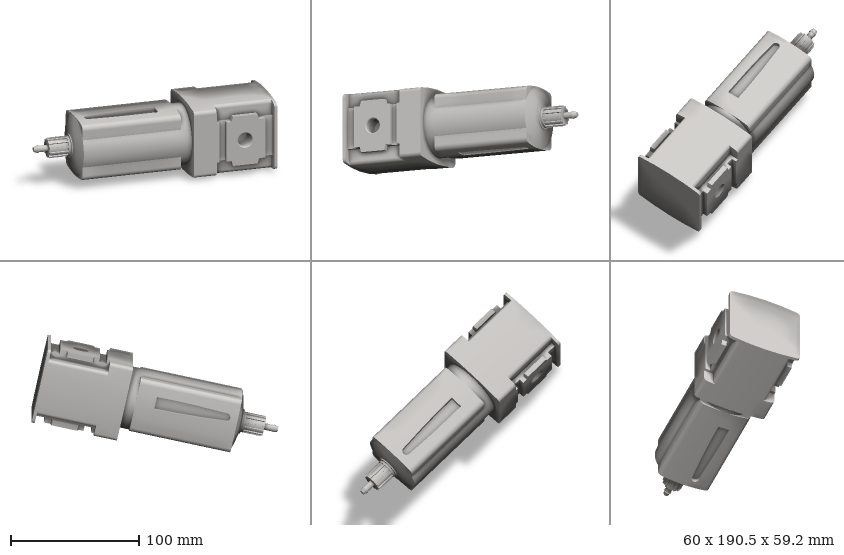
import cadquery as cq
import math


HEAD_WIDTH = 60.0
HEAD_HEIGHT = 59.2
HEAD_LENGTH = 68.2
HEAD_CROWN_RADIUS = 167.6
HEAD_CORNER_RADIUS = 3.0

REAR_FLANGE = 2.5
RECESS_END = 49.7
RECESS_WALL_X = 22.5
RECESS_CORNER_RADIUS = 2.9

PAD_HALF_HEIGHT = 16.2
GROOVE_FLOOR_X = 25.9
REAR_GROOVE_END = 9.9
FRONT_GROOVE_START = 41.5
FRONT_GROOVE_END = 47.5

TAB_HALF_HEIGHT = 20.4
TAB_ROOT_LENGTH = 22.5
TAB_TIP_LENGTH = 20.2
PORT_STATION = 26.3

PORT_DIAMETER = 11.5
PORT_MOUTH_DIAMETER = 12.8
PORT_DEPTH = 15.2
PORT_TIP_ANGLE = 118.0

BOWL_DIAMETER = 48.8
GUARD_START = 76.2
BOWL_SHOULDER = 157.0
GUARD_WIDTH = 43.2
GUARD_CROWN_RADIUS = 101.0
GUARD_CORNER_RADIUS = 4.2
DOME_RADIUS = 66.7

WINDOW_START = 91.5
WINDOW_END = 150.9
WINDOW_FLOOR_Z = 20.5
WINDOW_WIDE_LEFT_X = 0.8
WINDOW_WIDE_RIGHT_X = 10.7
WINDOW_NARROW_STATION = 148.2
WINDOW_NARROW_LEFT_X = 3.2
WINDOW_NARROW_RIGHT_X = 9.5
WINDOW_SIDE_BULGE = 0.5

COLLAR_BASE_DIAMETER = 21.5
COLLAR_DIAMETER = 19.0
COLLAR_CONE_LENGTH = 0.4
COLLAR_END = 161.9
NECK_DIAMETER = 16.2
NECK_END = 163.8
KNOB_CORE_DIAMETER = 13.9
KNOB_END = 179.5
RIB_COUNT = 12
RIB_WIDTH = 1.0
RIB_CHAMFER_LENGTH = 1.1
RIB_CHAMFER_DEPTH = 0.29
NOZZLE_DIAMETER = 5.1
BARB_DIAMETER = 6.0
BARB_START = 186.7
BARB_END = 187.2
TIP_DIAMETER = 3.8
TIP_END = 190.5

SIDES = (-1, 1)


def dome_drop(radius):
    """Distance of the dome surface beyond the shoulder, at a given radius."""
    return math.sqrt(DOME_RADIUS**2 - radius**2) - math.sqrt(DOME_RADIUS**2 - (BOWL_DIAMETER / 2) ** 2)


COLLAR_SEAT = BOWL_SHOULDER + dome_drop(COLLAR_BASE_DIAMETER / 2)


def crowned_bar(width, height, crown_radius, corner_radius, start, end):
    """Bar along Y with flat sides, bowed top and bottom, and rounded long edges."""
    half_width = width / 2
    half_height = height / 2
    edge_z = half_height - crown_radius + math.sqrt(crown_radius**2 - half_width**2)
    return (
        cq.Workplane("XZ", origin=(0, -start, 0))
        .moveTo(-half_width, -edge_z)
        .threePointArc((0, -half_height), (half_width, -edge_z))
        .lineTo(half_width, edge_z)
        .threePointArc((0, half_height), (-half_width, edge_z))
        .close()
        .extrude(end - start)
        .edges("|Y")
        .fillet(corner_radius)
    )


def side_block(side, inner_x, outer_x, half_height, start, end):
    """Block centred on Z = 0 on one side of the part."""
    return cq.Workplane("XY").box(outer_x - inner_x, end - start, 2 * half_height).translate(
        (side * (inner_x + outer_x) / 2, -(start + end) / 2, 0)
    )


def side_pad(side):
    """Mounting pad with two cross grooves, and a clamping tab above and below."""
    face_x = HEAD_WIDTH / 2
    pad = side_block(side, RECESS_WALL_X, GROOVE_FLOOR_X, PAD_HALF_HEIGHT, REAR_FLANGE, RECESS_END)
    lands = ((REAR_GROOVE_END, FRONT_GROOVE_START), (FRONT_GROOVE_END, RECESS_END))
    for start, end in lands:
        pad = pad.union(side_block(side, GROOVE_FLOOR_X, face_x, PAD_HALF_HEIGHT, start, end))
    root = TAB_ROOT_LENGTH / 2
    tip = TAB_TIP_LENGTH / 2
    tabs = (
        cq.Workplane("YZ", origin=(side * GROOVE_FLOOR_X, -PORT_STATION, 0))
        .polyline([
            (-root, -PAD_HALF_HEIGHT),
            (-tip, -TAB_HALF_HEIGHT),
            (tip, -TAB_HALF_HEIGHT),
            (root, -PAD_HALF_HEIGHT),
            (root, PAD_HALF_HEIGHT),
            (tip, TAB_HALF_HEIGHT),
            (-tip, TAB_HALF_HEIGHT),
            (-root, PAD_HALF_HEIGHT),
        ])
        .close()
        .extrude(side * (face_x - GROOVE_FLOOR_X))
    )
    return pad.union(tabs)


def side_port(side):
    """Drilled port with a chamfered mouth and a conical bottom."""
    radius = PORT_DIAMETER / 2
    mouth_radius = PORT_MOUTH_DIAMETER / 2
    face_x = HEAD_WIDTH / 2
    bottom_x = face_x - PORT_DEPTH
    tip_x = bottom_x - radius / math.tan(math.radians(PORT_TIP_ANGLE / 2))
    return (
        cq.Workplane("XY", origin=(0, -PORT_STATION, 0))
        .polyline([
            (side * tip_x, 0),
            (side * bottom_x, radius),
            (side * (face_x - mouth_radius + radius), radius),
            (side * face_x, mouth_radius),
            (side * face_x, 0),
        ])
        .close()
        .revolve(360, (0, 0, 0), (1, 0, 0))
    )


def make_head():
    outline = (HEAD_WIDTH, HEAD_HEIGHT, HEAD_CROWN_RADIUS)
    core_outline = (2 * RECESS_WALL_X, HEAD_HEIGHT, HEAD_CROWN_RADIUS)
    head = crowned_bar(*outline, HEAD_CORNER_RADIUS, 0, REAR_FLANGE)
    head = head.union(crowned_bar(*core_outline, RECESS_CORNER_RADIUS, REAR_FLANGE, RECESS_END))
    head = head.union(crowned_bar(*outline, HEAD_CORNER_RADIUS, RECESS_END, HEAD_LENGTH))
    for side in SIDES:
        head = head.union(side_pad(side))
    for side in SIDES:
        head = head.cut(side_port(side))
    return head


def window_recess():
    """Tapered flat-bottomed recess in the top of the guard, with a round narrow end."""
    middle = (WINDOW_START + WINDOW_NARROW_STATION) / 2
    left_middle_x = (WINDOW_WIDE_LEFT_X + WINDOW_NARROW_LEFT_X) / 2 - WINDOW_SIDE_BULGE
    right_middle_x = (WINDOW_WIDE_RIGHT_X + WINDOW_NARROW_RIGHT_X) / 2 + WINDOW_SIDE_BULGE
    end_x = (WINDOW_NARROW_LEFT_X + WINDOW_NARROW_RIGHT_X) / 2
    return (
        cq.Workplane("XY", origin=(0, 0, WINDOW_FLOOR_Z))
        .moveTo(WINDOW_WIDE_LEFT_X, -WINDOW_START)
        .threePointArc((left_middle_x, -middle), (WINDOW_NARROW_LEFT_X, -WINDOW_NARROW_STATION))
        .threePointArc((end_x, -WINDOW_END), (WINDOW_NARROW_RIGHT_X, -WINDOW_NARROW_STATION))
        .threePointArc((right_middle_x, -middle), (WINDOW_WIDE_RIGHT_X, -WINDOW_START))
        .close()
        .extrude(BOWL_DIAMETER / 2)
    )


def make_bowl():
    radius = BOWL_DIAMETER / 2
    seat_radius = COLLAR_BASE_DIAMETER / 2
    arc_radius = (radius + seat_radius) / 2
    barrel = (
        cq.Workplane("XY")
        .moveTo(0, -HEAD_LENGTH)
        .lineTo(radius, -HEAD_LENGTH)
        .lineTo(radius, -BOWL_SHOULDER)
        .threePointArc((arc_radius, -BOWL_SHOULDER - dome_drop(arc_radius)), (seat_radius, -COLLAR_SEAT))
        .lineTo(0, -COLLAR_SEAT)
        .close()
        .revolve(360, (0, 0, 0), (0, 1, 0))
    )
    guard = crowned_bar(
        GUARD_WIDTH, BOWL_DIAMETER, GUARD_CROWN_RADIUS, GUARD_CORNER_RADIUS, GUARD_START, BOWL_SHOULDER
    )
    bowl = barrel.union(guard)
    for angle in (0, 180):
        bowl = bowl.cut(window_recess().rotate((0, 0, 0), (0, 1, 0), angle))
    return bowl


def knob_rib():
    """Straight grip rib at the top of the knob, sloped off at its front end."""
    rib_top = NECK_DIAMETER / 2
    return (
        cq.Workplane("YZ")
        .polyline([
            (-NECK_END, 0),
            (-NECK_END, rib_top),
            (-KNOB_END + RIB_CHAMFER_LENGTH, rib_top),
            (-KNOB_END, rib_top - RIB_CHAMFER_DEPTH),
            (-KNOB_END, 0),
        ])
        .close()
        .extrude(RIB_WIDTH / 2, both=True)
    )


def make_drain():
    drain = (
        cq.Workplane("XY")
        .polyline([
            (0, -COLLAR_SEAT),
            (COLLAR_BASE_DIAMETER / 2, -COLLAR_SEAT),
            (COLLAR_DIAMETER / 2, -COLLAR_SEAT - COLLAR_CONE_LENGTH),
            (COLLAR_DIAMETER / 2, -COLLAR_END),
            (NECK_DIAMETER / 2, -COLLAR_END),
            (NECK_DIAMETER / 2, -NECK_END),
            (KNOB_CORE_DIAMETER / 2, -NECK_END),
            (KNOB_CORE_DIAMETER / 2, -KNOB_END),
            (NOZZLE_DIAMETER / 2, -KNOB_END),
            (NOZZLE_DIAMETER / 2, -BARB_START),
            (BARB_DIAMETER / 2, -BARB_START),
            (BARB_DIAMETER / 2, -BARB_END),
            (TIP_DIAMETER / 2, -TIP_END),
            (0, -TIP_END),
        ])
        .close()
        .revolve(360, (0, 0, 0), (0, 1, 0))
    )
    pitch = 360 / RIB_COUNT
    for index in range(RIB_COUNT):
        drain = drain.union(knob_rib().rotate((0, 0, 0), (0, 1, 0), (index + 0.5) * pitch))
    return drain


head = make_head()
bowl = make_bowl()
drain = make_drain()

result = cq.Compound.makeCompound([head.val(), bowl.val(), drain.val()])